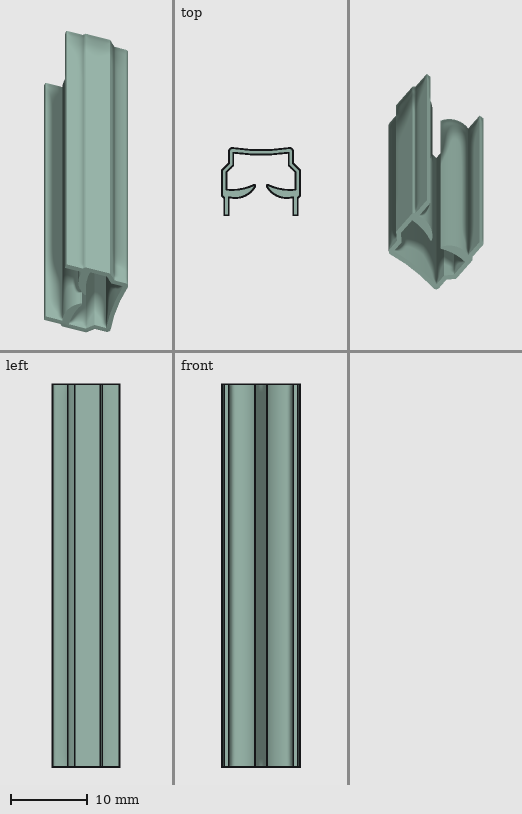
import cadquery as cq

length = 50.0
width = 10.2
depth = 8.8

wall = 0.6
half_width = width / 2
inner_half_width = half_width - wall
neck_half_width = 4.2
inner_neck_half_width = neck_half_width - wall

shoulder_top = 6.8
shoulder_bottom = shoulder_top - (half_width - neck_half_width)
inner_shoulder_drop = 0.25
inner_shoulder_top = shoulder_top - inner_shoulder_drop
inner_shoulder_bottom = inner_shoulder_top - (inner_half_width - inner_neck_half_width)

roof_sag = 0.3
roof_crest_x = 3.7
corner_drop = 0.5
corner_mid_offset = 0.145
roof_inner_corner_y = 8.15

leg_outer_x = 4.8
leg_inner_x = leg_outer_x - wall
body_bottom = 2.55
leg_top = body_bottom - (half_width - leg_outer_x)

lip_root_bottom = 2.35
lip_belly = (2.4, 2.4)
lip_tip_bottom = (0.8, 3.7)
lip_tip_nose = (0.75, 3.9)
lip_tip_top = (0.95, 3.95)
lip_top_middle = (2.5, 3.45)
lip_root_top = 3.35


def mirrored(point):
    """Reflect a profile point across the symmetry plane X = 0."""
    return (-point[0], point[1])


def half_outline():
    """Right half of the profile from roof crest to inner roof corner.

    Each entry is (end point, arc midpoint); a midpoint of None means a straight edge.
    """
    corner_middle = (neck_half_width - corner_mid_offset, depth - corner_mid_offset)
    return [
        ((roof_crest_x, depth), None),
        ((neck_half_width, depth - corner_drop), corner_middle),
        ((neck_half_width, shoulder_top), None),
        ((half_width, shoulder_bottom), None),
        ((half_width, body_bottom), None),
        ((leg_outer_x, leg_top), None),
        ((leg_outer_x, 0), None),
        ((leg_inner_x, 0), None),
        ((leg_inner_x, lip_root_bottom), None),
        (lip_tip_bottom, lip_belly),
        (lip_tip_top, lip_tip_nose),
        ((inner_half_width, lip_root_top), lip_top_middle),
        ((inner_half_width, inner_shoulder_bottom), None),
        ((inner_neck_half_width, inner_shoulder_top), None),
        ((inner_neck_half_width, roof_inner_corner_y), None),
    ]


def add_edge(sketch, end, middle):
    """Append a straight edge, or an arc when a midpoint is given."""
    if middle is None:
        return sketch.lineTo(*end)
    return sketch.threePointArc(middle, end)


def channel_profile():
    """Closed, symmetric cross-section of the channel."""
    half = half_outline()
    start = half[0][0]
    sketch = cq.Workplane("XY").moveTo(*start)
    for end, middle in half[1:]:
        sketch = add_edge(sketch, end, middle)

    roof_underside_middle = (0, depth - roof_sag - wall)
    sketch = sketch.threePointArc(roof_underside_middle, mirrored(half[-1][0]))

    for index in range(len(half) - 1, 0, -1):
        end = mirrored(half[index - 1][0])
        middle = half[index][1]
        sketch = add_edge(sketch, end, mirrored(middle) if middle else None)

    return sketch.threePointArc((0, depth - roof_sag), start).close()


result = channel_profile().extrude(length)